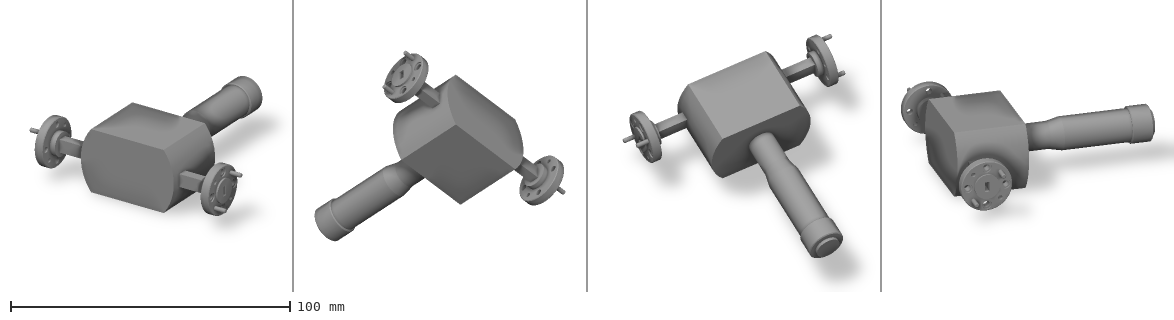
import cadquery as cq
import math


block_radius = 20.0
block_height = 25.0
block_front_y = -5.6
block_back_y = 21.1

neck_radius = 5.0
neck_end_y = 33.75
barrel_radius = 6.1
barrel_start_y = 38.7
head_radius = 6.8
head_start_y = 64.0
head_end_y = 71.8
cap_radius = 4.5
cap_end_y = 72.95
head_chamfer = 0.3

tube_width = 3.6
tube_height = 5.1
bore_width = 1.85
bore_height = 3.8

hub_inner_x = 31.7
flange_inner_x = 33.9
flange_outer_x = 37.35
raised_face_x = 38.1
flange_diameter = 19.05
hub_radius = 4.7
flange_chamfer = 0.25

bolt_circle_radius = 7.1
screw_hole_radius = 1.2
counterbore_radius = 1.8
counterbore_depth = 0.5
pin_radius = 0.8
pin_tip_x = 42.0
pin_chamfer = 0.25
screw_angles = [0, 90, 180, 270]
pin_angles = [45, 225]
dowel_hole_angles = [135, 315]

arm_turns = [0, 180]


def rod_along_x(radius, start_x, end_x):
    """Solid cylinder about the X axis."""
    return cq.Workplane("YZ", origin=(start_x, 0, 0)).circle(radius).extrude(end_x - start_x)


def bar_along_x(width, height, start_x, end_x):
    """Solid rectangular bar centred on the X axis."""
    return cq.Workplane("YZ", origin=(start_x, 0, 0)).rect(width, height).extrude(end_x - start_x)


def on_bolt_circle(shape, angle):
    """Move a shape from the X axis onto the bolt circle, at an angle from +Y towards +Z."""
    offset_y = bolt_circle_radius * math.cos(math.radians(angle))
    offset_z = bolt_circle_radius * math.sin(math.radians(angle))
    return shape.translate((0, offset_y, offset_z))


def turn_about_z(shape, angle):
    return shape.rotate((0, 0, 0), (0, 0, 1), angle)


def make_block():
    half_height = block_height / 2
    half_flat = math.sqrt(block_radius**2 - half_height**2)
    return (
        cq.Workplane("XZ", origin=(0, block_back_y, 0))
        .moveTo(-half_flat, half_height)
        .lineTo(half_flat, half_height)
        .threePointArc((block_radius, 0), (half_flat, -half_height))
        .lineTo(-half_flat, -half_height)
        .threePointArc((-block_radius, 0), (-half_flat, half_height))
        .close()
        .extrude(block_back_y - block_front_y)
    )


def make_micrometer():
    profile = [
        (0, block_front_y),
        (neck_radius, block_front_y),
        (neck_radius, neck_end_y),
        (barrel_radius, barrel_start_y),
        (barrel_radius, head_start_y),
        (head_radius - head_chamfer, head_start_y),
        (head_radius, head_start_y + head_chamfer),
        (head_radius, head_end_y - head_chamfer),
        (head_radius - head_chamfer, head_end_y),
        (cap_radius, head_end_y),
        (cap_radius, cap_end_y),
        (0, cap_end_y),
    ]
    return cq.Workplane("XY").polyline(profile).close().revolve(360, (0, 0, 0), (0, 1, 0))


def make_waveguide_arm():
    """Tube and flange with their bore and holes, pointing along +X from the origin."""
    disc = rod_along_x(flange_diameter / 2, flange_inner_x, flange_outer_x).edges().chamfer(flange_chamfer)
    hub = rod_along_x(hub_radius, hub_inner_x, raised_face_x)
    tube = bar_along_x(tube_width, tube_height, 0, raised_face_x)
    bore = bar_along_x(bore_width, bore_height, 0, raised_face_x)
    arm = disc.union(hub).union(tube).cut(bore)

    screw_hole = rod_along_x(screw_hole_radius, flange_inner_x, flange_outer_x)
    counterbore = rod_along_x(counterbore_radius, flange_outer_x - counterbore_depth, flange_outer_x)
    for angle in screw_angles:
        arm = arm.cut(on_bolt_circle(screw_hole.union(counterbore), angle))

    pin_hole = rod_along_x(pin_radius, flange_inner_x, flange_outer_x)
    for angle in pin_angles + dowel_hole_angles:
        arm = arm.cut(on_bolt_circle(pin_hole, angle))
    return arm


def make_housing():
    """Block, micrometer and both waveguide arms as one solid; the bores stop at the block."""
    housing = make_block().union(make_micrometer())
    arm = make_waveguide_arm()
    for turn in arm_turns:
        housing = housing.union(turn_about_z(arm, turn))
    return housing


def make_pin(angle, turn):
    """Alignment pin, flush with the inner flange face and chamfered at its tip."""
    pin = rod_along_x(pin_radius, flange_inner_x, pin_tip_x).faces(">X").chamfer(pin_chamfer)
    return turn_about_z(on_bolt_circle(pin, angle), turn)


housing = make_housing()
pins = [make_pin(angle, turn) for turn in arm_turns for angle in pin_angles]

result = cq.Compound.makeCompound([housing.val(), *[pin.val() for pin in pins]])